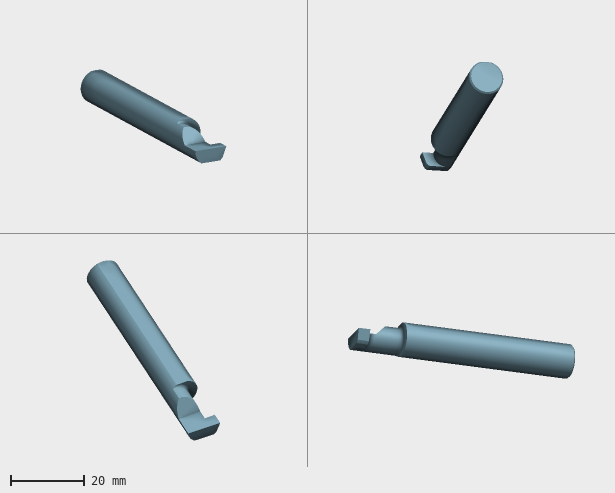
import cadquery as cq
import math

length = 63.5
shank_radius = 4.75
end_chamfer = 0.45
flat_height = 4.5

neck_start = 49.4
neck_radius = 3.8
neck_center_y = -2.1
neck_fillet = 0.75

ramp_end = 57.3
tooth_start = 60.15
face_relief_angle = 2.5
tooth_relief_angle = 20.0

margin = 3.2
reach = shank_radius + margin


def make_shank():
    bar = cq.Workplane("YZ").circle(shank_radius).extrude(length)
    bar = bar.faces("<X").chamfer(end_chamfer)
    flat_cutter = (
        cq.Workplane("XY", origin=(0, 0, flat_height))
        .rect(2 * (length + margin), 2 * reach)
        .extrude(margin)
    )
    return bar.cut(flat_cutter)


def make_neck_envelope():
    """Bounds the neck and its filleted shoulder; the shank behind it is left full."""
    core_length = length + margin - neck_start
    core = (
        cq.Workplane("YZ", origin=(neck_start, 0, 0))
        .moveTo(-reach, -neck_radius)
        .lineTo(neck_center_y, -neck_radius)
        .threePointArc((neck_center_y + neck_radius, 0), (neck_center_y, neck_radius))
        .lineTo(-reach, neck_radius)
        .close()
        .extrude(core_length)
    )
    rear_envelope = cq.Workplane("YZ").rect(2 * reach, 2 * reach).extrude(neck_start)
    joined = core.union(rear_envelope)
    root_zone = cq.selectors.BoxSelector(
        (neck_start - neck_fillet / 2, -reach + margin / 2, -shank_radius),
        (neck_start + neck_fillet / 2, shank_radius, shank_radius),
    )
    return joined.edges(root_zone).fillet(neck_fillet)


def make_tooth_envelope():
    """Block around the tooth, as deep as the neck, its outer side relieved below the edge."""
    setback = neck_radius * math.tan(math.radians(tooth_relief_angle))
    return (
        cq.Workplane("YZ", origin=(tooth_start, 0, 0))
        .moveTo(-reach, 0)
        .lineTo(shank_radius, 0)
        .lineTo(shank_radius - setback, -neck_radius)
        .lineTo(-reach, -neck_radius)
        .close()
        .extrude(length - tooth_start)
    )


def make_ramp_cutter():
    return (
        cq.Workplane("XZ", origin=(0, reach, 0))
        .moveTo(ramp_end, 0)
        .lineTo(length + margin, 0)
        .lineTo(length + margin, reach)
        .lineTo(ramp_end - reach, reach)
        .close()
        .extrude(2 * reach)
    )


def make_face_relief_cutter():
    """Wedge that slants the front face back from the tooth tip towards -Y."""
    setback = (shank_radius + reach) * math.tan(math.radians(face_relief_angle))
    return (
        cq.Workplane("XY", origin=(0, 0, -reach))
        .moveTo(length, shank_radius)
        .lineTo(length + margin, shank_radius)
        .lineTo(length + margin, -reach)
        .lineTo(length - setback, -reach)
        .close()
        .extrude(2 * reach)
    )


shank = make_shank()
envelope = make_neck_envelope().union(make_tooth_envelope())
result = shank.intersect(envelope).cut(make_ramp_cutter()).cut(make_face_relief_cutter())